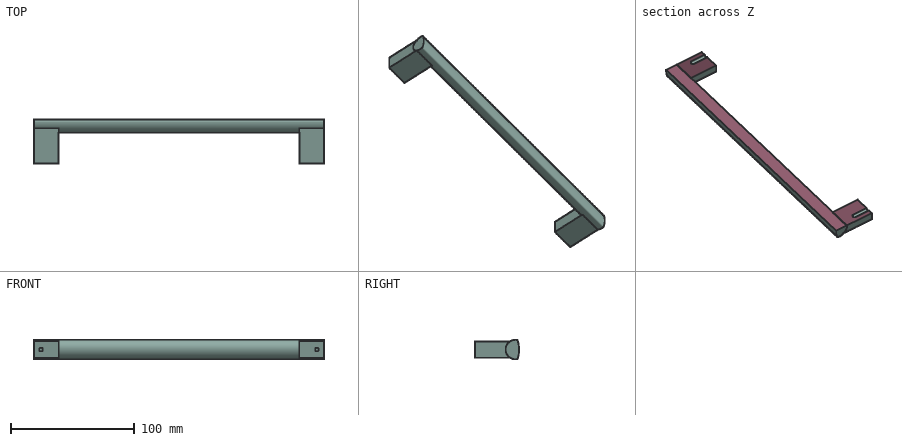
import cadquery as cq
import math

length = 236.0
depth = 36.0

bar_height = 16.0
bar_radius = bar_height / 2
bar_depth = 11.0
crown_radius = 23.5
edge_radius = 1.2

post_width = 20.0
post_height = 13.5
hole_diameter = 3.0
hole_inset = 6.0
hole_depth = 14.2
drill_tip_angle = 118

bar_center_y = depth - bar_depth + bar_radius
crown_center_y = depth - crown_radius

center_gap = bar_center_y - crown_center_y
corner_offset = (center_gap**2 + crown_radius**2 - bar_radius**2) / (2 * center_gap)
corner_y = crown_center_y + corner_offset
corner_z = math.sqrt(crown_radius**2 - corner_offset**2)


def make_rod(center_y, radius):
    """Full-length cylinder along X."""
    return cq.Workplane("YZ").center(center_y, 0).circle(radius).extrude(length)


def make_bar():
    """Round rod trimmed by the larger crown cylinder, with both long edges rounded."""
    bar = make_rod(bar_center_y, bar_radius).intersect(make_rod(crown_center_y, crown_radius))
    for side in (-1, 1):
        corner = (length / 2, corner_y, side * corner_z)
        bar = bar.edges(cq.NearestToPointSelector(corner)).fillet(edge_radius)
    return bar


def make_screw_hole(hole_x):
    """Cutter for a blind hole with a conical drill tip, drilled from the foot."""
    hole_radius = hole_diameter / 2
    tip_length = hole_radius / math.tan(math.radians(drill_tip_angle / 2))
    return (
        cq.Workplane("XY")
        .polyline([(0, 0), (hole_radius, 0), (hole_radius, hole_depth), (0, hole_depth + tip_length)])
        .close()
        .revolve(360, (0, 0), (0, 1))
        .translate((hole_x, 0, 0))
    )


def make_post(start_x, hole_x):
    """Block from the foot to the bar, seated on the round front of the bar."""
    block = (
        cq.Workplane("XY")
        .box(post_width, bar_center_y, post_height, centered=(False, False, True))
        .translate((start_x, 0, 0))
    )
    seat = make_rod(bar_center_y, bar_radius)
    return block.cut(seat).cut(make_screw_hole(hole_x))


bar = make_bar()
post_places = [
    (0, hole_inset),
    (length - post_width, length - hole_inset),
]
posts = []
for start_x, hole_x in post_places:
    posts.append(make_post(start_x, hole_x).val())

result = cq.Compound.makeCompound([bar.val(), *posts])